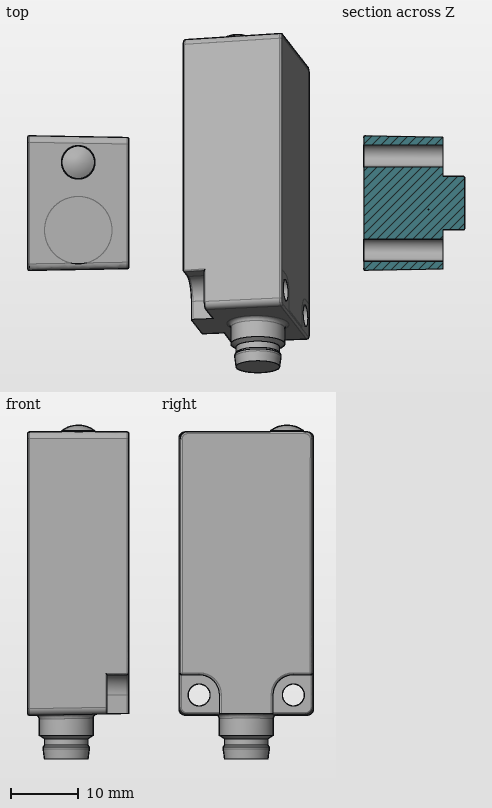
import cadquery as cq
import math

thickness = 15.0
width = 20.0
housing_bottom = 6.5
housing_top = 48.5
total_height = 49.5
draft_angle = 1.0
corner_radius = 1.0
rim_radius = 0.3

x_back = -thickness / 2
x_front = thickness / 2
draft = thickness * math.tan(math.radians(draft_angle))

hole_diameter = 3.2
hole_offset = 7.0
hole_z = 9.5
notch_diameter = 6.0
notch_depth = 3.2
notch_mouth_radius = 0.2

cover_inset = 0.6
cover_corner_radius = 0.4
cover_ear_radius = 2.48
cover_thickness = 0.5
lens_diameter = 10.0
lens_y = -4.0
lens_thickness = 0.5

lamp_y = 6.05
lamp_base_diameter = 5.0
lamp_cap_diameter = 4.8
lamp_rim_height = 0.2
lamp_sink = 0.5

connector_x = -1.8
collar_diameter = 8.0
collar_fillet = 0.6
collar_bottom = 3.5
neck_diameter = 6.5
neck_top = 3.0
barb_diameter = 6.9
barb_slope_top = 2.1
barb_top = 1.8
barb_bottom = 1.5


def make_housing():
    """Drafted block with rounded long edges."""
    back_height = housing_top - housing_bottom
    front_height = back_height - draft
    block = (
        cq.Workplane("YZ", origin=(x_back, 0, 0))
        .center(0, housing_top - back_height / 2)
        .rect(width, back_height)
        .workplane(offset=thickness)
        .center(0, draft / 2)
        .rect(width - 2 * draft, front_height)
        .loft()
    )
    long_edges = block.edges("not(<X or >X)")
    return long_edges.fillet(corner_radius)


def make_notch(side):
    """Cutter for one lower front corner; side is +1 or -1 along Y."""
    radius = notch_diameter / 2
    inner_y = side * (hole_offset - radius)
    arc_step = radius * math.sqrt(0.5)
    return (
        cq.Workplane("YZ", origin=(x_front - notch_depth, 0, 0))
        .moveTo(inner_y, 0)
        .lineTo(inner_y, hole_z)
        .threePointArc(
            (side * (hole_offset - arc_step), hole_z + arc_step),
            (side * hole_offset, hole_z + radius),
        )
        .lineTo(side * width, hole_z + radius)
        .lineTo(side * width, 0)
        .close()
        .extrude(thickness)
    )


def round_notch_mouth(body, side):
    """Round the edges where a notch opens through the side wall."""
    top_z = hole_z + notch_diameter / 2
    floor_x = x_front - notch_depth
    reach = 0.5
    outer_y = side * width / 2
    mouth = cq.selectors.BoxSelector(
        (floor_x - reach, outer_y - reach, housing_bottom + corner_radius),
        (x_front - reach, outer_y + reach, top_z + reach),
    )
    return body.edges(mouth).fillet(notch_mouth_radius)


def round_rims(body):
    """Round the rims of both X faces; the lower edge between the notches stays sharp."""
    lower_edge_limit = housing_bottom + corner_radius
    back_rim = body.faces("<X").edges()
    front_rim = body.faces(">X").edges().filter(
        lambda edge: edge.BoundingBox().zmax > lower_edge_limit
    )
    return back_rim.add(front_rim).fillet(rim_radius)


def make_cover():
    """Plate let into the back face, cut away around the mounting holes."""
    half_width = width / 2 - cover_inset
    bottom = housing_bottom + cover_inset
    top = housing_top - cover_inset
    plate = (
        cq.Workplane("YZ", origin=(x_back, 0, 0))
        .center(0, (bottom + top) / 2)
        .rect(2 * half_width, top - bottom)
        .extrude(cover_thickness)
        .edges("|X and >Z")
        .fillet(cover_corner_radius)
    )
    ear_width = half_width - hole_offset + cover_ear_radius
    ear_height = hole_z + cover_ear_radius - bottom
    for side in (1, -1):
        ear = (
            cq.Workplane("YZ", origin=(x_back, 0, 0))
            .center(side * (half_width - ear_width / 2), bottom + ear_height / 2)
            .rect(ear_width, ear_height)
            .extrude(cover_thickness)
            .edges("|X and >Z")
            .edges("<Y" if side > 0 else ">Y")
            .fillet(cover_ear_radius)
        )
        plate = plate.cut(ear)
    return plate


def make_holes():
    """Two cutters running through the full thickness."""
    return (
        cq.Workplane("YZ", origin=(x_back, 0, 0))
        .pushPoints([(hole_offset, hole_z), (-hole_offset, hole_z)])
        .circle(hole_diameter / 2)
        .extrude(thickness)
    )


def make_lens():
    """Round window level with the top face."""
    return (
        cq.Workplane("XY", origin=(0, lens_y, housing_top - lens_thickness))
        .circle(lens_diameter / 2)
        .extrude(lens_thickness)
    )


def make_lamp():
    """Low tapered rim carrying a spherical cap; its base is sunk into the housing."""
    radius = lamp_cap_diameter / 2
    base_radius = lamp_base_diameter / 2
    root_z = housing_top - lamp_sink
    rim_z = housing_top + lamp_rim_height
    rise = total_height - rim_z
    sphere_radius = (radius**2 + rise**2) / (2 * rise)
    half_angle = math.asin(radius / sphere_radius) / 2
    arc_middle = (
        sphere_radius * math.sin(half_angle),
        total_height - sphere_radius * (1 - math.cos(half_angle)),
    )
    return (
        cq.Workplane("XZ", origin=(0, lamp_y, 0))
        .moveTo(0, root_z)
        .lineTo(base_radius, root_z)
        .lineTo(base_radius, housing_top)
        .lineTo(radius, rim_z)
        .threePointArc(arc_middle, (0, total_height))
        .close()
        .revolve(360, (0, 0, 0), (0, 1, 0))
    )


def make_connector():
    """Stepped round plug with a snap barb; its top end is sunk into the housing."""
    neck = neck_diameter / 2
    collar = collar_diameter / 2
    barb = barb_diameter / 2
    root_z = housing_bottom + corner_radius
    return (
        cq.Workplane("XZ", origin=(connector_x, 0, 0))
        .lineTo(neck, 0)
        .lineTo(barb, barb_bottom)
        .lineTo(barb, barb_top)
        .lineTo(neck, barb_slope_top)
        .lineTo(neck, neck_top)
        .lineTo(collar, collar_bottom)
        .lineTo(collar, root_z)
        .lineTo(0, root_z)
        .close()
        .revolve(360, (0, 0, 0), (0, 1, 0))
    )


def fillet_collar_root(body):
    """Blend the connector collar into the housing bottom."""
    margin = 0.25
    reach = collar_diameter / 2 + margin
    root = cq.selectors.BoxSelector(
        (connector_x - reach, -reach, housing_bottom - margin),
        (connector_x + reach, reach, housing_bottom + draft + margin),
    )
    return body.edges(root).edges("not %LINE").fillet(collar_fillet)


def inlay(body, insert):
    """Set an insert flush into the body, keeping its outline as an edge."""
    return body.cut(insert, clean=False).union(insert, clean=False)


body = make_housing()
for side in (1, -1):
    body = body.cut(make_notch(side))
    body = round_notch_mouth(body, side)
body = round_rims(body)

body = body.union(make_connector())
body = fillet_collar_root(body)
body = body.union(make_lamp())

body = body.cut(make_holes())

body = inlay(body, make_cover())
result = inlay(body, make_lens())